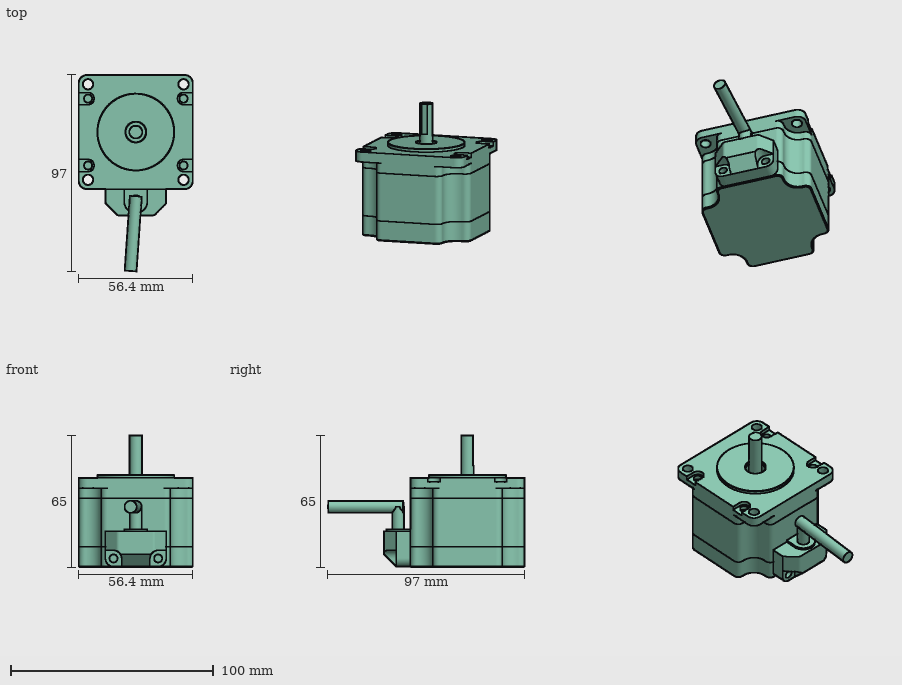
import cadquery as cq
import math

frame_width = 56.4
half_width = frame_width / 2
rear_cover_height = 10.0
stator_top = 34.0
flange_underside = 39.0
flange_top = 44.0
flange_corner_radius = 4.1
back_edge_chamfer = 0.5

relief_radius = 7.0
relief_centre = half_width - flange_corner_radius
relief_edge_fillet = 3.0

mount_hole_spacing = 47.14
mount_hole_diameter = 5.0

slot_width = 6.0
slot_depth = 2.0
slot_spacing_x = mount_hole_spacing
slot_spacing_y = 33.0
screw_hole_diameter = 4.0
screw_hole_depth = 2.2

pilot_diameter = 38.1
pilot_height = 1.6
bore_diameter = 10.0
pilot_edge_chamfer = 0.2

shaft_diameter = 6.35
shaft_top = 65.0
shaft_flat_length = 15.0
shaft_flat_depth = 0.4

box_width = 30.0
box_depth = 13.0
box_bottom = 0.25
box_height = 17.5
box_chamfer = 6.0
box_edge_fillet = 2.0
tab_thickness = box_depth - box_chamfer
tab_radius = 4.0
tab_hole_diameter = 4.0
box_top = box_bottom + box_height

grommet_radius = 5.75
grommet_thickness = 1.0

cable_diameter = 6.0
cable_offset = 6.0
cable_y = -half_width - cable_offset
lead_height = 29.7
lead_length = 37.0
lead_start_offset = 2.5
lead_angle = 4.0


def relieved_frame(bottom, top):
    """Square frame length with a rounded concave relief along each corner."""
    height = top - bottom
    corner = relief_centre - relief_radius
    arc_middle = relief_centre - relief_radius * math.sqrt(0.5)
    outside = frame_width
    notch = (
        cq.Workplane("XY")
        .workplane(offset=bottom)
        .moveTo(corner, outside)
        .lineTo(corner, relief_centre)
        .threePointArc((arc_middle, arc_middle), (relief_centre, corner))
        .lineTo(outside, corner)
        .lineTo(outside, outside)
        .close()
        .extrude(height)
    )
    frame = cq.Workplane("XY").workplane(offset=bottom).rect(frame_width, frame_width).extrude(height)
    for quarter_turn in range(4):
        frame = frame.cut(notch.rotate((0, 0, 0), (0, 0, 1), quarter_turn * 90))
    for side in (">X", "<X", ">Y", "<Y"):
        frame = frame.faces(side).edges("|Z").fillet(relief_edge_fillet)
    return frame


def make_rear_cover():
    return relieved_frame(0, rear_cover_height).faces("<Z").chamfer(back_edge_chamfer)


def make_stator():
    return relieved_frame(rear_cover_height, stator_top)


def make_flange():
    plate = (
        cq.Workplane("XY")
        .workplane(offset=flange_underside)
        .rect(frame_width, frame_width)
        .extrude(flange_top - flange_underside)
        .edges("|Z")
        .fillet(flange_corner_radius)
    )
    bore = (
        cq.Workplane("XY")
        .workplane(offset=stator_top)
        .circle(bore_diameter / 2)
        .extrude(flange_top - stator_top)
    )
    mount_holes = (
        cq.Workplane("XY")
        .workplane(offset=flange_underside)
        .rect(mount_hole_spacing, mount_hole_spacing, forConstruction=True)
        .vertices()
        .circle(mount_hole_diameter / 2)
        .extrude(flange_top - flange_underside)
    )
    flange = relieved_frame(stator_top, flange_underside).union(plate).cut(bore)
    return flange.cut(mount_holes).cut(make_slots()).cut(make_screw_holes())


def make_pilot():
    """Locating ring seated on the flange, its top edges lightly chamfered."""
    return (
        cq.Workplane("XY")
        .workplane(offset=flange_top)
        .circle(pilot_diameter / 2)
        .circle(bore_diameter / 2)
        .extrude(pilot_height)
        .faces(">Z")
        .chamfer(pilot_edge_chamfer)
    )


def make_slots():
    """Round-nosed slots that run out through the -X and +X sides."""
    slots = cq.Workplane("XY")
    slot_length = frame_width - slot_spacing_x
    for side_x in (1, -1):
        for side_y in (1, -1):
            slot = (
                cq.Workplane("XY")
                .workplane(offset=flange_top - slot_depth)
                .center(side_x * half_width, side_y * slot_spacing_y / 2)
                .slot2D(slot_length + slot_width, slot_width)
                .extrude(slot_depth)
            )
            slots = slots.add(slot)
    return slots.combine()


def make_screw_holes():
    return (
        cq.Workplane("XY")
        .workplane(offset=flange_top - slot_depth - screw_hole_depth)
        .rect(slot_spacing_x, slot_spacing_y, forConstruction=True)
        .vertices()
        .circle(screw_hole_diameter / 2)
        .extrude(screw_hole_depth)
    )


def make_shaft():
    shaft = (
        cq.Workplane("XY")
        .workplane(offset=stator_top)
        .circle(shaft_diameter / 2)
        .extrude(shaft_top - stator_top)
    )
    flat = (
        cq.Workplane("XY")
        .workplane(offset=shaft_top - shaft_flat_length)
        .center(0, shaft_diameter - shaft_flat_depth)
        .rect(shaft_diameter, shaft_diameter)
        .extrude(shaft_flat_length)
    )
    return shaft.cut(flat)


def make_connector_box():
    box_front = -half_width - box_depth
    tab_face = -half_width - tab_thickness
    tab_x = box_width / 2 - tab_radius
    tab_z = box_bottom + tab_radius

    box = (
        cq.Workplane("XY")
        .workplane(offset=box_bottom)
        .center(0, -half_width - box_depth / 2)
        .rect(box_width, box_depth)
        .extrude(box_height)
    )
    box = box.faces("<Y").edges("|Z").chamfer(box_chamfer)
    box = box.faces("<Y").edges("|Z").fillet(box_edge_fillet)

    slope = (
        cq.Workplane("YZ")
        .moveTo(box_front, box_bottom)
        .lineTo(tab_face, box_bottom)
        .lineTo(box_front, box_bottom + box_chamfer)
        .close()
        .extrude(box_width / 2, both=True)
    )
    box = box.cut(slope)

    box = box.faces("<X or >X").edges("<Z").fillet(tab_radius)

    for side in (1, -1):
        arc_reach = tab_radius * math.sqrt(0.5)
        recess = (
            cq.Workplane("XZ", origin=(0, tab_face, 0))
            .moveTo(side * box_width / 2, box_bottom)
            .lineTo(side * (tab_x - tab_radius), box_bottom)
            .lineTo(side * (tab_x - tab_radius), tab_z)
            .threePointArc(
                (side * (tab_x - arc_reach), tab_z + arc_reach),
                (side * tab_x, tab_z + tab_radius),
            )
            .lineTo(side * box_width / 2, tab_z + tab_radius)
            .close()
            .extrude(box_depth - tab_thickness)
        )
        hole = (
            cq.Workplane("XZ", origin=(side * tab_x, -half_width, tab_z))
            .circle(tab_hole_diameter / 2)
            .extrude(tab_thickness)
        )
        box = box.cut(recess).cut(hole)
    return box


def make_grommet():
    """Plate with a round nose concentric with the cable riser, which passes through it."""
    return (
        cq.Workplane("XY")
        .workplane(offset=box_top)
        .moveTo(-grommet_radius, -half_width)
        .lineTo(-grommet_radius, cable_y)
        .threePointArc((0, cable_y - grommet_radius), (grommet_radius, cable_y))
        .lineTo(grommet_radius, -half_width)
        .close()
        .moveTo(0, cable_y)
        .circle(cable_diameter / 2)
        .extrude(grommet_thickness)
    )


def make_cable_lead():
    lead_start = (0, cable_y + lead_start_offset, lead_height)
    above_start = (0, cable_y + lead_start_offset, lead_height + 1)
    return (
        cq.Workplane("XZ", origin=lead_start)
        .circle(cable_diameter / 2)
        .extrude(lead_length)
        .rotate(lead_start, above_start, -lead_angle)
    )


def make_cable_riser(lead):
    """Vertical cable length, its top coped to fit around the lead."""
    riser = (
        cq.Workplane("XY")
        .workplane(offset=box_top)
        .center(0, cable_y)
        .circle(cable_diameter / 2)
        .extrude(lead_height - box_top)
    )
    return riser.cut(lead)


rear_cover = make_rear_cover()
stator = make_stator()
flange = make_flange()
pilot = make_pilot()
shaft = make_shaft()
connector_box = make_connector_box()
grommet = make_grommet()
cable_lead = make_cable_lead()
cable_riser = make_cable_riser(cable_lead)

result = cq.Compound.makeCompound(
    [
        rear_cover.val(),
        stator.val(),
        flange.val(),
        pilot.val(),
        shaft.val(),
        connector_box.val(),
        grommet.val(),
        cable_lead.val(),
        cable_riser.val(),
    ]
)